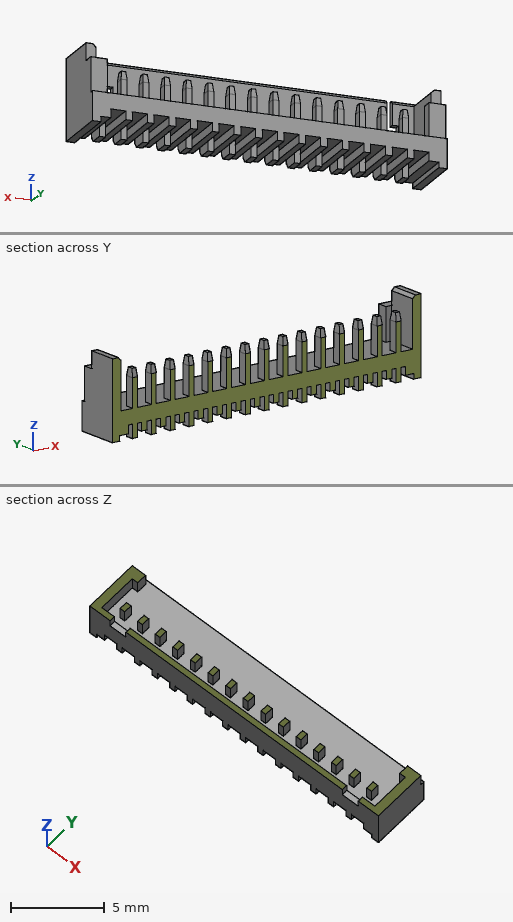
import cadquery as cq

length = 20.5
depth = 3.7
height = 4.7

end_wall = 0.57
front_wall = 0.37
floor_top = 1.7
wall_depth = 2.8
rim_chamfer = 0.18

post_width = 0.96
post_back = 3.46
post_top = 3.7

pin_count = 15
pin_pitch = 1.25
pin_width = 0.35
pin_thickness = 0.53
pin_front = 0.95
pin_top = 3.9
pin_tip_side_inset = 0.05
pin_tip_face_inset = 0.09
pin_tip_height = 0.5
stem_front = 0.33
stem_bevel_height = 0.3
stem_bevel_run = 0.25

foot_width = 0.5
foot_height = 0.3
notch_width = 0.86
notch_top = 0.8

window_outer = 1.45
window_width = 1.1
window_bottom = 2.1
window_top = 3.3
slot_outer = 1.8
slot_width = 0.3

pin_places = [(i - (pin_count - 1) / 2) * pin_pitch for i in range(pin_count)]


def block(x_start, x_end, y_start, y_end, z_start, z_end):
    """Box between two opposite corners."""
    size = (x_end - x_start, y_end - y_start, z_end - z_start)
    return cq.Workplane("XY").box(*size, centered=False).translate((x_start, y_start, z_start))


def centred_block(x_middle, width, y_start, y_end, z_start, z_end):
    """Box placed by its middle along X."""
    return block(x_middle - width / 2, x_middle + width / 2, y_start, y_end, z_start, z_end)


def both_ends(shape):
    """A left-hand feature together with its mirror image at the right end."""
    return shape.union(shape.mirror("YZ"))


def housing_shell():
    """Floor, front wall and end walls, open at the top and back."""
    outline = (
        cq.Workplane("YZ")
        .polyline([(0, 0), (depth, 0), (depth, floor_top), (wall_depth, floor_top),
                   (wall_depth, height), (0, height)])
        .close()
        .extrude(length / 2, both=True)
    )
    cavity_length = length - 2 * end_wall
    cavity = centred_block(0, cavity_length, front_wall, depth, floor_top, height)
    flare = (
        cq.Workplane("XY")
        .workplane(offset=height)
        .center(0, front_wall + depth / 2)
        .rect(cavity_length + 2 * rim_chamfer, depth + 2 * rim_chamfer)
        .workplane(offset=-rim_chamfer)
        .rect(cavity_length, depth)
        .loft(ruled=True)
    )
    return outline.cut(cavity).cut(flare)


def posts():
    """Low posts standing behind the end walls, flush with the ends."""
    left_end = -length / 2
    return both_ends(block(left_end, left_end + post_width, wall_depth, post_back, 0, post_top))


def latch_openings():
    """Window in the front wall with a narrow slot running up to the rim."""
    window_start = -length / 2 + window_outer
    slot_start = -length / 2 + slot_outer
    window = block(window_start, window_start + window_width, 0, front_wall, window_bottom, window_top)
    slot = block(slot_start, slot_start + slot_width, 0, front_wall, window_bottom, height)
    return both_ends(window.union(slot))


def underside_cuts():
    """Clearance between the two end feet and a notch around every contact."""
    cuts = centred_block(0, length - 2 * foot_width, 0, depth, 0, foot_height)
    for x in pin_places:
        cuts = cuts.union(centred_block(x, notch_width, 0, depth, 0, notch_top))
    return cuts


def contact(x):
    """Upright pin with a tapered tip, on a deeper stem filling the gap below the floor."""
    pin_back = pin_front + pin_thickness
    shaft_top = pin_top - pin_tip_height
    pin = centred_block(x, pin_width, pin_front, pin_back, 0, shaft_top)
    tip = (
        cq.Workplane("XY")
        .workplane(offset=shaft_top)
        .center(x, pin_front + pin_thickness / 2)
        .rect(pin_width, pin_thickness)
        .workplane(offset=pin_tip_height)
        .rect(pin_width - 2 * pin_tip_side_inset, pin_thickness - 2 * pin_tip_face_inset)
        .loft(ruled=True)
    )
    stem = (
        cq.Workplane("YZ")
        .polyline([(stem_front, notch_top), (stem_front, stem_bevel_height),
                   (stem_front + stem_bevel_run, 0), (pin_back, 0), (pin_back, notch_top)])
        .close()
        .extrude(pin_width / 2, both=True)
        .translate((x, 0, 0))
    )
    return pin.union(tip).union(stem)


result = housing_shell().union(posts()).cut(latch_openings()).cut(underside_cuts())
for x in pin_places:
    result = result.union(contact(x))